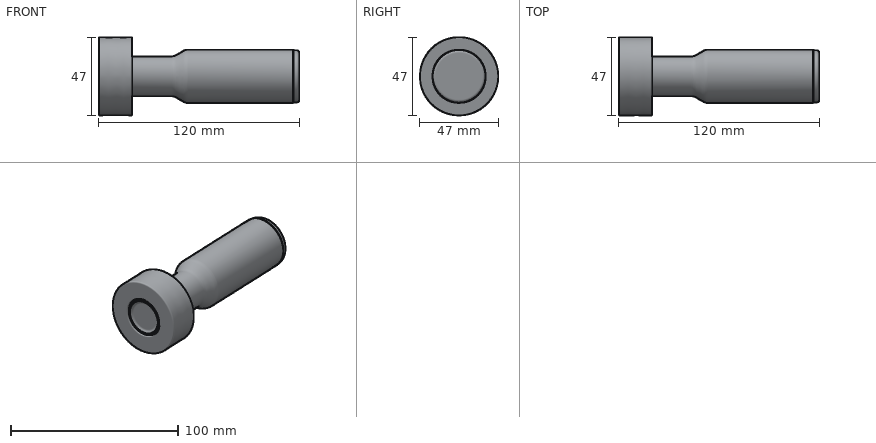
import cadquery as cq
import math

total_length = 120.0

disc_diameter = 47.0
disc_waist_diameter = 46.9
disc_thickness = 19.9
disc_waist_position = 10.5
disc_edge = 0.8
bore_edge = 0.7

neck_radius = 24.0 / 2
grip_radius = 32.0 / 2
end_radius = 31.5 / 2
neck_end = 43.5
shoulder_angle = math.radians(30)
shoulder_blend = 5.0
grip_end = 116.0
end_step_length = 0.7
end_round = 1.7

tip_setback = 0.7
tip_chamfer = 0.6
dish_rim_radius = 10.5
dish_cone_radius = 9.6
dish_floor_radius = 8.4
dish_cone_depth = 0.6
dish_depth = 1.1


def revolve_about_x(profile):
    """Turn a closed XY profile (X along the axis, Y the radius) about the X axis."""
    return profile.close().revolve(360, (0, 0, 0), (1, 0, 0))


def make_disc():
    """Slightly waisted ring with rounded outer edges and a rounded front bore edge."""
    outer = disc_diameter / 2
    arc_inset = 1 - math.sqrt(0.5)
    profile = (
        cq.Workplane("XY")
        .moveTo(bore_edge, neck_radius)
        .threePointArc(
            (bore_edge * arc_inset, neck_radius + bore_edge * arc_inset),
            (0, neck_radius + bore_edge),
        )
        .lineTo(0, outer - disc_edge)
        .threePointArc((disc_edge * arc_inset, outer - disc_edge * arc_inset), (disc_edge, outer))
        .lineTo(disc_waist_position, disc_waist_diameter / 2)
        .lineTo(disc_thickness - disc_edge, outer)
        .threePointArc(
            (disc_thickness - disc_edge * arc_inset, outer - disc_edge * arc_inset),
            (disc_thickness, outer - disc_edge),
        )
        .lineTo(disc_thickness, neck_radius)
    )
    return revolve_about_x(profile)


def make_handle():
    """Turned handle: dished tip, neck, blended conical shoulder, grip and rounded end."""
    blend_length = shoulder_blend * math.sin(shoulder_angle)
    blend_rise = shoulder_blend * (1 - math.cos(shoulder_angle))
    cone_rise = grip_radius - neck_radius - 2 * blend_rise
    cone_start = neck_end + blend_length
    cone_end = cone_start + cone_rise / math.tan(shoulder_angle)
    grip_start = cone_end + blend_length

    profile = (
        cq.Workplane("XY")
        .moveTo(tip_setback + dish_depth, 0)
        .lineTo(tip_setback + dish_depth, dish_floor_radius)
        .tangentArcPoint((tip_setback + dish_cone_depth, dish_cone_radius), relative=False)
        .lineTo(tip_setback, dish_rim_radius)
        .lineTo(tip_setback, neck_radius - tip_chamfer)
        .lineTo(tip_setback + tip_chamfer, neck_radius)
        .lineTo(neck_end, neck_radius)
        .tangentArcPoint((cone_start, neck_radius + blend_rise), relative=False)
        .lineTo(cone_end, grip_radius - blend_rise)
        .tangentArcPoint((grip_start, grip_radius), relative=False)
        .lineTo(grip_end, grip_radius)
        .lineTo(grip_end + end_step_length, end_radius)
        .lineTo(total_length - end_round, end_radius)
        .tangentArcPoint((total_length, end_radius - end_round), relative=False)
        .lineTo(total_length, 0)
    )
    return revolve_about_x(profile)


disc = make_disc()
handle = make_handle()

result = cq.Compound.makeCompound([disc.val(), handle.val()])